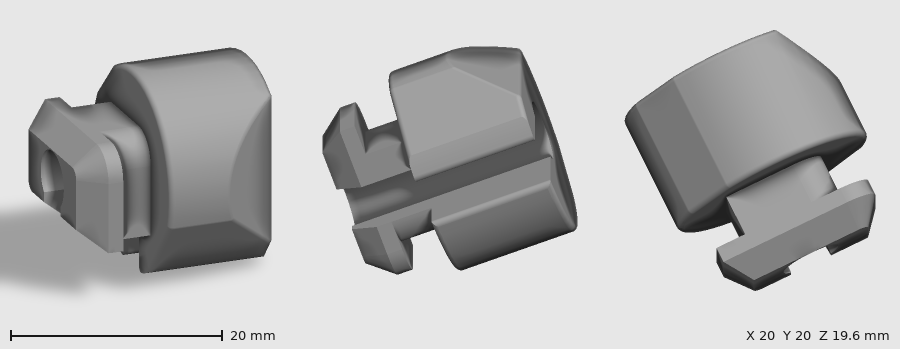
import cadquery as cq
import math


KNOB_RADIUS = 10.0
KNOB_LENGTH = 12.0
EDGE_ROUND = 0.5
UPPER_FLAT_ANGLE = 135.2
UPPER_FLAT_DISTANCE = 9.6
LOWER_FLAT_ANGLE = -39.5
LOWER_FLAT_DISTANCE = 9.2
BEVEL_WIDTH = 4.0
BEVEL_LENGTH = 6.0

BORE_RADIUS = 2.9
SLOT_WIDTH = 4.2

NECK_SIDE = 10.0
NECK_LENGTH = 4.0
HEAD_WIDTH = 16.0
HEAD_RIM = 1.5
HEAD_TAPER_LENGTH = 2.5
HEAD_TAPER_INSET = 2.0
KEY_CORNER_RADIUS = 3.0

SCREW_RADIUS = 2.5
SCREW_LENGTH = 6.0
CUP_RADIUS = SCREW_RADIUS / 2
CUP_HALF_ANGLE = 60.0

KEY_LENGTH = NECK_LENGTH + HEAD_RIM + HEAD_TAPER_LENGTH
HALF_SLOT = SLOT_WIDTH / 2
BEVEL_NORMAL = cq.Vector(BEVEL_LENGTH, BEVEL_WIDTH, 0).normalized()
BEVEL_CENTRE = cq.Vector(KNOB_RADIUS - BEVEL_WIDTH / 2, KNOB_LENGTH - BEVEL_LENGTH / 2, 0)
CLEARANCE = 0.2


def front_plane(y):
    """Plane at the given y, facing -Y, with local x along X and local y along Z."""
    return cq.Workplane("XZ", origin=(0, y, 0))


def block_beyond(point, normal):
    """Large block that fills the space on the outer side of a plane."""
    size = 4 * KNOB_RADIUS
    plane = cq.Plane(origin=point, xDir=cq.Vector(0, 0, 1).cross(normal), normal=normal)
    return cq.Workplane(plane).rect(size, size).extrude(size)


def flat_cutter(angle, distance):
    """Block that leaves a flat along the knob at a distance from the bore axis."""
    normal = cq.Vector(math.cos(math.radians(angle)), 0, math.sin(math.radians(angle)))
    return block_beyond(normal * distance, normal)


def slot_cutter():
    """Straight slot from the bore axis down through knob and key."""
    depth = KNOB_RADIUS + CLEARANCE
    return (
        front_plane(KNOB_LENGTH)
        .center(0, -depth / 2)
        .rect(SLOT_WIDTH, depth)
        .extrude(KNOB_LENGTH + KEY_LENGTH)
    )


def slot_lip_cutter(side):
    """Sliver that rounds the slot's outer corner on one side (-1 or +1) of the knob."""
    round_x = HALF_SLOT + EDGE_ROUND
    round_reach = KNOB_RADIUS - EDGE_ROUND
    round_z = -math.sqrt(round_reach**2 - round_x**2)
    outward = cq.Vector(round_x, round_z).normalized()
    inward_and_down = (outward + cq.Vector(-1, 0)).normalized()
    end = outward * KNOB_RADIUS
    middle = cq.Vector(round_x, round_z) + inward_and_down * EDGE_ROUND
    below = -KNOB_RADIUS - CLEARANCE
    return (
        front_plane(KNOB_LENGTH)
        .moveTo(side * HALF_SLOT, round_z)
        .threePointArc((side * middle.x, middle.y), (side * end.x, end.y))
        .lineTo(side * end.x, below)
        .lineTo(side * HALF_SLOT, below)
        .close()
        .extrude(KNOB_LENGTH)
    )


def square_edged_zone():
    """Box around the edges of the slot and of the short arc between slot and lower flat."""
    half_span = math.degrees(math.acos(LOWER_FLAT_DISTANCE / KNOB_RADIUS))
    arc_end_x = KNOB_RADIUS * math.cos(math.radians(LOWER_FLAT_ANGLE - half_span))
    return cq.selectors.BoxSelector(
        (-HALF_SLOT - CLEARANCE, -CLEARANCE, -KNOB_RADIUS - CLEARANCE),
        (arc_end_x + CLEARANCE, KNOB_LENGTH + CLEARANCE, CLEARANCE),
    )


def knob_zone(margin=CLEARANCE):
    """Box around the knob, larger than it along Y by the margin, or smaller if negative."""
    reach = KNOB_RADIUS + CLEARANCE
    return cq.selectors.BoxSelector(
        (-reach, -margin, -reach),
        (reach, KNOB_LENGTH + margin, reach),
    )


def make_knob():
    """Cylinder with two flats, a bevelled back and a slot, rounded along its outer edges."""
    knob = (
        front_plane(KNOB_LENGTH)
        .circle(KNOB_RADIUS)
        .extrude(KNOB_LENGTH)
        .cut(flat_cutter(UPPER_FLAT_ANGLE, UPPER_FLAT_DISTANCE))
        .cut(flat_cutter(LOWER_FLAT_ANGLE, LOWER_FLAT_DISTANCE))
        .cut(block_beyond(BEVEL_CENTRE, BEVEL_NORMAL))
        .cut(slot_cutter())
    )
    knob = knob.edges(knob_zone(-CLEARANCE) - square_edged_zone()).fillet(EDGE_ROUND)
    knob = knob.faces("<Y or >Y").edges(knob_zone() - square_edged_zone()).fillet(EDGE_ROUND)
    for side in (-1, 1):
        knob = knob.cut(slot_lip_cutter(side))
    return knob


def key_outline(y, width):
    """Rectangle with its upper-right and lower-left corners rounded."""
    half_width = width / 2
    half_height = NECK_SIDE / 2
    radius = KEY_CORNER_RADIUS
    return (
        front_plane(y)
        .moveTo(-half_width, half_height)
        .lineTo(half_width - radius, half_height)
        .radiusArc((half_width, half_height - radius), radius)
        .lineTo(half_width, -half_height)
        .lineTo(-half_width + radius, -half_height)
        .radiusArc((-half_width, -half_height + radius), radius)
        .close()
    )


def make_key():
    taper = math.degrees(math.atan2(HEAD_TAPER_INSET, HEAD_TAPER_LENGTH))
    neck = key_outline(0, NECK_SIDE).extrude(NECK_LENGTH)
    rim = key_outline(-NECK_LENGTH, HEAD_WIDTH).extrude(HEAD_RIM)
    nose = key_outline(-NECK_LENGTH - HEAD_RIM, HEAD_WIDTH).extrude(HEAD_TAPER_LENGTH, taper=taper)
    return neck.union(rim).union(nose)


def screw_hole_cutter():
    """Cylinder square to the bevel, from outside it to the bore axis."""
    length = BEVEL_CENTRE.x / BEVEL_NORMAL.x
    start = BEVEL_CENTRE + BEVEL_NORMAL * CLEARANCE
    plane = cq.Plane(origin=start, xDir=(0, 0, 1), normal=BEVEL_NORMAL * -1)
    return cq.Workplane(plane).circle(SCREW_RADIUS).extrude(length + CLEARANCE)


def make_clamp():
    """Knob and key in one piece, with the bore, the slot and the screw hole."""
    bore = front_plane(KNOB_LENGTH).circle(BORE_RADIUS).extrude(KNOB_LENGTH + KEY_LENGTH)
    return make_knob().union(make_key()).cut(bore).cut(slot_cutter()).cut(screw_hole_cutter())


def make_set_screw():
    """Cup-point screw turned about its own axis."""
    cup_depth = CUP_RADIUS / math.tan(math.radians(CUP_HALF_ANGLE))
    point_chamfer = SCREW_RADIUS - CUP_RADIUS
    radial = cq.Vector(0, 0, 1)
    plane = cq.Plane(origin=BEVEL_CENTRE, xDir=radial, normal=BEVEL_NORMAL.cross(radial))
    return (
        cq.Workplane(plane)
        .lineTo(SCREW_RADIUS, 0)
        .lineTo(SCREW_RADIUS, SCREW_LENGTH - point_chamfer)
        .lineTo(CUP_RADIUS, SCREW_LENGTH)
        .lineTo(0, SCREW_LENGTH - cup_depth)
        .close()
        .revolve(360, (0, 0), (0, 1))
    )


clamp = make_clamp()
set_screw = make_set_screw()

result = cq.Compound.makeCompound([clamp.solids().val(), set_screw.val()])